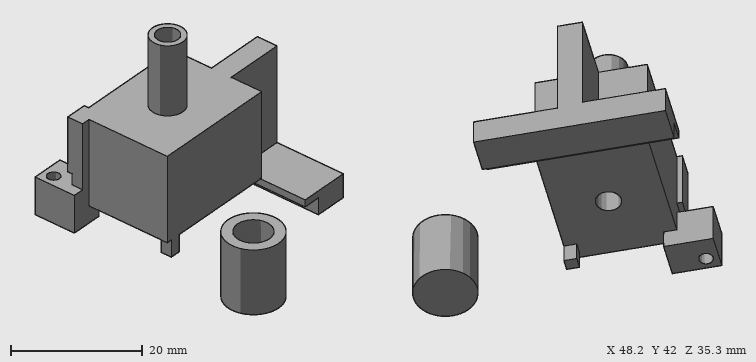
import cadquery as cq


overall_length = 48.25

block_left = 5.7
block_width = 17.55
block_right = block_left + block_width
block_front = 8.55
block_length = 22.55
block_back = block_front + block_length
block_bottom = 6.3
block_top = 22.35

post_x = block_left + block_width / 2
post_y = 19.2
post_diameter = 6.0
post_bore = 4.0
post_top = 35.3

bar_left = 0.35
bar_right = 30.35
bar_back = 42.03
bar_depth = 9.1
bar_rear_depth = 6.0
bar_left_top = 4.82
bar_right_top = 4.45
lip_bottom = 3.15

rib_left = 13.3
rib_width = 3.9
rib_right = rib_left + rib_width

foot_width = 7.75
foot_front = 5.0
foot_back = 10.95
foot_bottom = lip_bottom
foot_top = 10.15
foot_hole_diameter = 2.2
foot_hole_x = 2.05
foot_hole_y = 7.0

corner_left = 4.82
corner_front = 7.0
notch_top = 12.15

small_foot_width = 2.05
small_foot_front = 9.5
small_foot_back = 11.45

cap_diameter = 10.0
cap_bore = 6.25
cap_x = overall_length - cap_diameter / 2
cap_y = cap_diameter / 2
cap_bottom = 7.15
cap_height = 12.0
cap_floor = (cap_diameter - cap_bore) / 2


def box(x_min, x_max, y_min, y_max, z_min, z_max):
    """Box given by its limits along each axis."""
    size = (x_max - x_min, y_max - y_min, z_max - z_min)
    return cq.Workplane("XY").box(*size, centered=False).translate((x_min, y_min, z_min))


def cylinder(x, y, diameter, z_min, z_max):
    """Vertical cylinder given by its axis, diameter and end heights."""
    base = cq.Workplane("XY", origin=(x, y, z_min))
    return base.circle(diameter / 2).extrude(z_max - z_min)


def make_crossbar():
    """Stepped bar, slightly higher to the left of the rib, with the rib itself."""
    bar_front = bar_back - bar_depth
    rear_front = bar_back - bar_rear_depth
    rear = box(bar_left, bar_right, rear_front, bar_back, 0, lip_bottom)
    left_lip = box(bar_left, rib_right, bar_front, bar_back, lip_bottom, bar_left_top)
    right_lip = box(rib_left, bar_right, bar_front, bar_back, lip_bottom, bar_right_top)
    lower_rib = box(rib_left, rib_right, bar_front, bar_back, lip_bottom, block_bottom)
    upper_rib = box(rib_left, rib_right, block_back, bar_back, block_bottom, block_top)
    return rear.union(left_lip).union(right_lip).union(lower_rib).union(upper_rib)


def make_drilled_foot():
    """Foot with a vertical through hole and the notched corner post above it."""
    foot = box(0, foot_width, foot_front, foot_back, foot_bottom, foot_top)
    corner = box(corner_left, foot_width, corner_front, foot_back, notch_top, block_top)
    neck = box(block_left, foot_width, corner_front, foot_back, foot_top, notch_top)
    hole = cylinder(foot_hole_x, foot_hole_y, foot_hole_diameter, foot_bottom, foot_top)
    return foot.union(neck).union(corner).cut(hole)


def make_small_foot():
    """Short peg under the right side of the block."""
    left = block_right - small_foot_width
    return box(left, block_right, small_foot_front, small_foot_back, foot_bottom, block_bottom)


def make_housing():
    """Block with its post, crossbar and feet, bored through along the post axis."""
    block = box(block_left, block_right, block_front, block_back, block_bottom, block_top)
    post = cylinder(post_x, post_y, post_diameter, block_top, post_top)
    bore = cylinder(post_x, post_y, post_bore, block_bottom, post_top)
    body = block.union(make_crossbar()).union(make_drilled_foot()).union(make_small_foot())
    return body.union(post).cut(bore)


def make_cap():
    """Round cap with a blind bore open at the top."""
    cap_top = cap_bottom + cap_height
    outside = cylinder(cap_x, cap_y, cap_diameter, cap_bottom, cap_top)
    return outside.cut(cylinder(cap_x, cap_y, cap_bore, cap_bottom + cap_floor, cap_top))


housing = make_housing()
cap = make_cap()

result = cq.Compound.makeCompound([housing.val(), cap.val()])